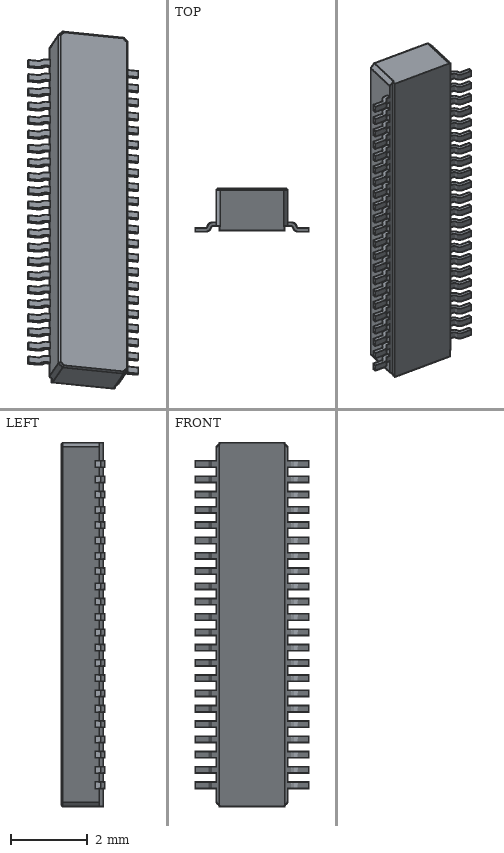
import cadquery as cq
import math

total_width = 2.97
total_height = 1.14
length = 9.52

body_width = 1.88
end_bevel = 0.11
crown_bevel = 0.05
plinth_width = 1.7
standoff = 0.04
plinth_height = 0.11
shoulder_y = standoff + plinth_height

lead_count = 22
lead_pitch = 0.4
lead_width = 0.17
lead_thickness = 0.1
foot_length = 0.27
bend_run = 0.2

lead_embed = 0.095

bend_angle = 2 * math.atan(shoulder_y / bend_run)
bend_radius = bend_run / (2 * math.sin(bend_angle))
inner_radius = bend_radius - lead_thickness / 2
outer_radius = bend_radius + lead_thickness / 2


def make_housing():
    block_height = total_height - shoulder_y
    block = (
        cq.Workplane("XY")
        .box(body_width, block_height, length)
        .edges("|Y").chamfer(end_bevel)
        .faces(">Y").chamfer(crown_bevel)
        .translate((0, shoulder_y + block_height / 2, 0))
    )
    plinth = cq.Workplane("XY").box(plinth_width, plinth_height, length)
    return block.union(plinth.translate((0, standoff + plinth_height / 2, 0)))


def arc_point(center, radius, angle):
    """Point on an arc, with the angle measured from +Y toward +X."""
    return (center[0] + radius * math.sin(angle), center[1] + radius * math.cos(angle))


def make_lead(z):
    """Lead on the +X side, centered at z."""
    tip_x = total_width / 2
    foot_x = tip_x - foot_length
    arm_x = foot_x - bend_run
    root_x = body_width / 2 - lead_embed
    arm_top = shoulder_y + lead_thickness
    upper_center = (arm_x, arm_top - outer_radius)
    lower_center = (foot_x, outer_radius)
    half_bend = bend_angle / 2
    upper_mid = half_bend
    lower_mid = math.pi + half_bend
    lower_start = math.pi + bend_angle
    profile = (
        cq.Workplane("XY")
        .moveTo(root_x, arm_top)
        .lineTo(arm_x, arm_top)
        .threePointArc(
            arc_point(upper_center, outer_radius, upper_mid),
            arc_point(upper_center, outer_radius, bend_angle),
        )
        .threePointArc(
            arc_point(lower_center, inner_radius, lower_mid),
            (foot_x, lead_thickness),
        )
        .lineTo(tip_x, lead_thickness)
        .lineTo(tip_x, 0)
        .lineTo(foot_x, 0)
        .threePointArc(
            arc_point(lower_center, outer_radius, lower_mid),
            arc_point(lower_center, outer_radius, lower_start),
        )
        .threePointArc(
            arc_point(upper_center, inner_radius, upper_mid),
            (arm_x, shoulder_y),
        )
        .lineTo(root_x, shoulder_y)
        .close()
    )
    return profile.extrude(lead_width / 2, both=True).translate((0, 0, z))


result = make_housing()
first_lead_z = -lead_pitch * (lead_count - 1) / 2
for index in range(lead_count):
    lead = make_lead(first_lead_z + index * lead_pitch)
    result = result.union(lead).union(lead.mirror("YZ"))